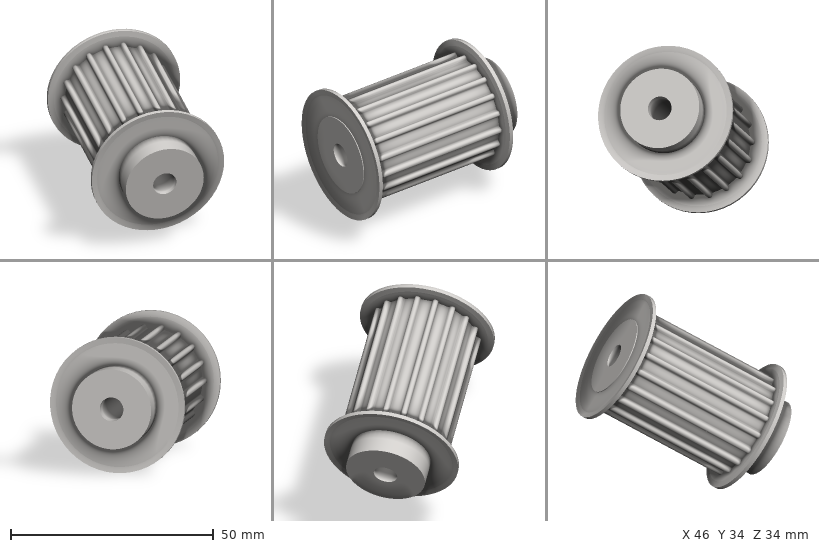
import cadquery as cq
import math

overall_length = 46.0
hub_length = 6.03
hub_diameter = 20.0
bore_diameter = 6.0

flange_diameter = 34.0
flange_flat_diameter = 31.0
flange_thickness = 1.0
flange_flare = 0.25

tooth_count = 18
tip_radius = 13.75
root_radius = 12.6
tip_land = 0.1
tip_round = 0.65
flank_angle = 15.0
root_fillet = 0.4

pulley_length = overall_length - hub_length
flange_depth = flange_thickness + flange_flare
tooth_length = pulley_length - 2 * flange_depth


def cylinder(start, length, diameter):
    """Solid cylinder along X beginning at x = start."""
    return cq.Workplane("YZ", origin=(start, 0, 0)).circle(diameter / 2).extrude(length)


def flange(rim_face, inward):
    """Dished disc; inward is +1 or -1, the X direction from its rim face to the teeth."""
    outer = flange_diameter / 2
    flat = flange_flat_diameter / 2
    profile = [
        (rim_face + inward * flange_flare, 0),
        (rim_face + inward * flange_flare, flat),
        (rim_face, outer),
        (rim_face + inward * flange_thickness, outer),
        (rim_face + inward * flange_depth, flat),
        (rim_face + inward * flange_depth, 0),
    ]
    return cq.Workplane("XY").polyline(profile).close().revolve(360, (0, 0, 0), (1, 0, 0))


def point_on_arc(center, radius, angle):
    """Point at the given angle (radians) on a circle."""
    return (center[0] + radius * math.cos(angle), center[1] + radius * math.sin(angle))


def mirrored(point):
    """Same point on the opposite side of the tooth center line."""
    return (point[0], -point[1])


def tooth_outline():
    """Tooth section pointing along +X of its sketch, closed through the pulley axis."""
    flank = math.radians(flank_angle)
    flank_normal = math.pi / 2 - flank

    tip_center = (tip_radius - tip_round, tip_land / 2)
    tip_start = (tip_radius, tip_land / 2)
    tip_middle = point_on_arc(tip_center, tip_round, flank_normal / 2)
    tip_end = point_on_arc(tip_center, tip_round, flank_normal)

    offset_point = point_on_arc(tip_end, root_fillet, flank_normal)
    center_radius = root_radius + root_fillet
    along = offset_point[0] * math.cos(flank) - offset_point[1] * math.sin(flank)
    across = offset_point[0] * math.sin(flank) + offset_point[1] * math.cos(flank)
    slide = along - math.sqrt(center_radius ** 2 - across ** 2)
    root_center = point_on_arc(offset_point, slide, math.pi - flank)
    root_start_angle = flank_normal - math.pi
    root_end_angle = math.atan2(root_center[1], root_center[0]) - math.pi
    root_start = point_on_arc(root_center, root_fillet, root_start_angle)
    root_middle = point_on_arc(root_center, root_fillet, (root_start_angle + root_end_angle) / 2)
    root_end = point_on_arc(root_center, root_fillet, root_end_angle)

    return (
        cq.Workplane("YZ", origin=(flange_depth, 0, 0))
        .lineTo(*root_end)
        .threePointArc(root_middle, root_start)
        .lineTo(*tip_end)
        .threePointArc(tip_middle, tip_start)
        .lineTo(*mirrored(tip_start))
        .threePointArc(mirrored(tip_middle), mirrored(tip_end))
        .lineTo(*mirrored(root_start))
        .threePointArc(mirrored(root_middle), mirrored(root_end))
        .close()
    )


def toothed_barrel():
    """Root cylinder with the teeth spaced evenly, one of them on the Y axis."""
    barrel = cylinder(flange_depth, tooth_length, 2 * root_radius)
    tooth = tooth_outline().extrude(tooth_length)
    for index in range(tooth_count):
        angle = index * 360 / tooth_count
        barrel = barrel.union(tooth.rotate((0, 0, 0), (1, 0, 0), angle))
    return barrel


result = (
    toothed_barrel()
    .union(flange(0, 1))
    .union(flange(pulley_length, -1))
    .union(cylinder(0, overall_length, hub_diameter))
    .cut(cylinder(0, overall_length, bore_diameter))
)